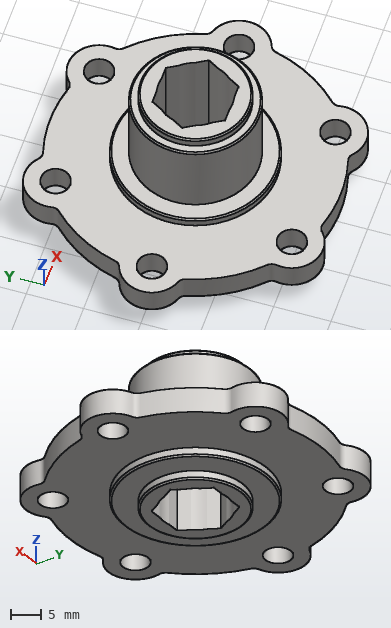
import cadquery as cq
import math

disc_diameter = 50.8
lobe_count = 6
lobe_radius = 5.45
bolt_circle_radius = 29.25 - lobe_radius
bolt_hole_diameter = 5.1
blend_radius = 1.5
plate_thickness = 4.75

shoulder_diameter = 28.55
body_diameter = 22.25
tip_diameter = 19.1
step_height = 1.6
body_height = 14.35
edge_chamfer = 0.3

hex_across_flats = 12.7
round_bore_diameter = 13.0

plate_bottom = 2 * step_height
plate_top = plate_bottom + plate_thickness
body_bottom = plate_top + step_height
body_top = body_bottom + body_height
total_height = body_top + step_height


def cylinder(diameter, bottom, top):
    return cq.Workplane("XY").workplane(offset=bottom).circle(diameter / 2).extrude(top - bottom)


def make_plate():
    """Round plate with bolt lobes, blended where each lobe leaves the disc."""
    base = cq.Workplane("XY").workplane(offset=plate_bottom)
    lobes = base.polarArray(bolt_circle_radius, 0, 360, lobe_count)
    plate = cylinder(disc_diameter, plate_bottom, plate_top)
    plate = plate.union(lobes.circle(lobe_radius).extrude(plate_thickness))

    disc_radius = disc_diameter / 2
    cosine = (disc_radius**2 + bolt_circle_radius**2 - lobe_radius**2) / (
        2 * disc_radius * bolt_circle_radius
    )
    corner_angle = math.degrees(math.acos(cosine))
    mid_height = plate_bottom + plate_thickness / 2
    for lobe in range(lobe_count):
        for side in (-1, 1):
            angle = math.radians(lobe * 360 / lobe_count + side * corner_angle)
            corner = (disc_radius * math.cos(angle), disc_radius * math.sin(angle), mid_height)
            plate = plate.edges(cq.selectors.NearestToPointSelector(corner)).fillet(blend_radius)
    return plate


def make_hub():
    """Shoulders on both faces of the plate, the long body and a tip at each end."""
    shoulder = cylinder(shoulder_diameter, step_height, body_bottom)
    body = cylinder(body_diameter, body_bottom, body_top)
    tip = cylinder(tip_diameter, 0, total_height)
    shoulder = shoulder.faces("<Z or >Z").chamfer(edge_chamfer)
    body = body.faces(">Z").chamfer(edge_chamfer)
    tip = tip.faces("<Z or >Z").chamfer(edge_chamfer)
    return shoulder.union(body).union(tip)


def make_bolt_holes():
    base = cq.Workplane("XY").polarArray(bolt_circle_radius, 0, 360, lobe_count)
    return base.circle(bolt_hole_diameter / 2).extrude(total_height)


def make_bore():
    across_corners = hex_across_flats / math.cos(math.pi / 6)
    hexagon = cq.Workplane("XY").polygon(6, across_corners).extrude(total_height)
    return hexagon.union(cylinder(round_bore_diameter, 0, total_height))


result = make_plate().union(make_hub()).cut(make_bolt_holes()).cut(make_bore())